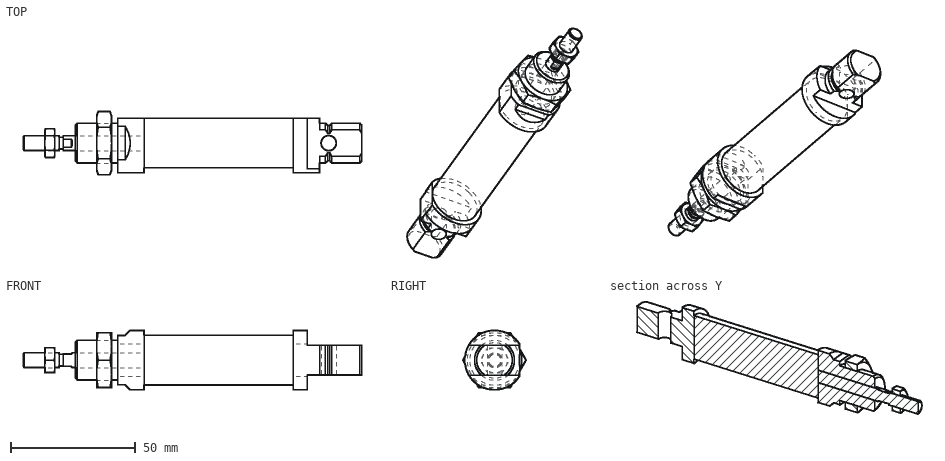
import cadquery as cq
import math


overall_length = 136.0
rod_nut_x = 8.7
rod_groove_x = 15.2
rod_flats_end_x = 19.3
thread_face_x = 21.0
mount_nut_x = 29.5
front_cap_x = 38.0
tube_front_x = 48.5
tube_rear_x = 108.4
rear_flats_x = 114.1
rear_collar_end_x = 119.0
pivot_x = 122.7

rod_diameter = 6.0
rod_tip_diameter = 5.0
rod_groove_diameter = 4.9
rod_groove_width = 1.6
rod_flats_width = 5.0

rod_nut_width = 10.0
rod_nut_thickness = 4.1
mount_nut_width = 22.0
mount_nut_thickness = 6.0
hexagon_half_angle = 30.0
nut_chamfer_angle = 20.0

tube_diameter = 20.0
cap_diameter = 24.0
cap_side_flat_y = 10.0
thread_diameter = 16.0
thread_tip_diameter = 14.3
wrench_flat_z = 9.9
wrench_flat_length = 3.0
eye_thickness = 12.0
eye_groove_diameter = 14.3
eye_groove_floor = 0.8
pivot_hole_diameter = 6.0


def round_bar(diameter, start, end):
    """Round bar along X between two stations."""
    return cq.Workplane("YZ").workplane(offset=start).circle(diameter / 2).extrude(end - start)


def v_groove(outer_diameter, floor_diameter, floor_width, center):
    """Ring to cut away: a turned groove with 45 degree walls and a flat floor."""
    depth = (outer_diameter - floor_diameter) / 2
    half_floor = floor_width / 2
    return (
        cq.Workplane("XY")
        .moveTo(center - half_floor, floor_diameter / 2)
        .lineTo(center + half_floor, floor_diameter / 2)
        .lineTo(center + half_floor + 2 * depth, floor_diameter / 2 + 2 * depth)
        .lineTo(center - half_floor - 2 * depth, floor_diameter / 2 + 2 * depth)
        .close()
        .revolve(360, (0, 0, 0), (1, 0, 0))
    )


def flat_cut(start, end, flat_z, ramp_height, width):
    """Block to cut away above flat_z, with a 45 degree run-out beyond end."""
    return (
        cq.Workplane("XZ")
        .moveTo(start, flat_z)
        .lineTo(end, flat_z)
        .lineTo(end + ramp_height, flat_z + ramp_height)
        .lineTo(start, flat_z + ramp_height)
        .close()
        .extrude(width / 2, both=True)
    )


def cut_flat_pair(body, cutter):
    """Cut the same flat on the upper and lower sides."""
    return body.cut(cutter).cut(cutter.mirror("XY"))


def trim_side_flat(cap):
    """Remove the part of a cap beyond the flat on its +Y side."""
    keep = cq.Workplane("XY").box(
        overall_length, cap_diameter, cap_diameter, centered=(False, False, True)
    ).translate((0, cap_side_flat_y - cap_diameter, 0))
    return cap.intersect(keep)


def make_hex_nut(width, bore, start, thickness):
    """Hexagon nut along X with flats up and down and corners chamfered at both faces."""
    corner_diameter = width / math.cos(math.radians(hexagon_half_angle))
    chamfer_radial = (corner_diameter - width) / 2
    chamfer_axial = chamfer_radial * math.tan(math.radians(nut_chamfer_angle))
    blank = (
        cq.Workplane("YZ")
        .workplane(offset=start)
        .polygon(6, corner_diameter)
        .circle(bore / 2)
        .extrude(thickness)
    )
    envelope = round_bar(corner_diameter, start, start + thickness)
    chamfered_envelope = envelope.faces("<X or >X").chamfer(chamfer_axial, chamfer_radial)
    return blank.intersect(chamfered_envelope)


def make_piston_rod():
    tip_chamfer = (rod_diameter - rod_tip_diameter) / 2
    rod = round_bar(rod_diameter, 0, tube_front_x).faces("<X").chamfer(tip_chamfer)
    groove_start = rod_groove_x - rod_groove_width / 2
    groove_end = rod_groove_x + rod_groove_width / 2
    groove = round_bar(rod_diameter, groove_start, groove_end)
    rod = rod.cut(groove.cut(round_bar(rod_groove_diameter, groove_start, groove_end)))
    flat_z = rod_flats_width / 2
    cutter = flat_cut(rod_groove_x, rod_flats_end_x, flat_z, rod_diameter / 2 - flat_z, rod_diameter)
    return cut_flat_pair(rod, cutter)


def make_front_cap():
    tip_chamfer = (thread_diameter - thread_tip_diameter) / 2
    thread = round_bar(thread_diameter, thread_face_x, front_cap_x).faces("<X").chamfer(tip_chamfer)
    collar = trim_side_flat(round_bar(cap_diameter, front_cap_x, tube_front_x))
    flats_end = front_cap_x + wrench_flat_length
    ramp_height = cap_diameter / 2 - wrench_flat_z
    cutter = flat_cut(front_cap_x, flats_end, wrench_flat_z, ramp_height, cap_diameter)
    cap = thread.union(cut_flat_pair(collar, cutter))
    return cap.cut(round_bar(rod_diameter, thread_face_x, tube_front_x))


def make_tube():
    return round_bar(tube_diameter, tube_front_x, tube_rear_x)


def make_rear_cap():
    end_chamfer = (thread_diameter - thread_tip_diameter) / 2
    collar = trim_side_flat(round_bar(cap_diameter, tube_rear_x, rear_collar_end_x))
    eye = round_bar(thread_diameter, rear_collar_end_x, overall_length).faces(">X").chamfer(end_chamfer)
    eye = eye.cut(v_groove(thread_diameter, eye_groove_diameter, eye_groove_floor, pivot_x))
    flat_z = eye_thickness / 2
    cutter = (
        cq.Workplane("XY")
        .box(overall_length - rear_flats_x, cap_diameter, cap_diameter, centered=(False, True, False))
        .translate((rear_flats_x, 0, flat_z))
    )
    cap = cut_flat_pair(collar.union(eye), cutter)
    pivot_hole = (
        cq.Workplane("XY")
        .center(pivot_x, 0)
        .circle(pivot_hole_diameter / 2)
        .extrude(eye_thickness, both=True)
    )
    return cap.cut(pivot_hole)


piston_rod = make_piston_rod()
rod_nut = make_hex_nut(rod_nut_width, rod_diameter, rod_nut_x, rod_nut_thickness)
front_cap = make_front_cap()
mount_nut = make_hex_nut(mount_nut_width, thread_diameter, mount_nut_x, mount_nut_thickness)
tube = make_tube()
rear_cap = make_rear_cap()

result = cq.Compound.makeCompound(
    [
        piston_rod.val(),
        rod_nut.val(),
        front_cap.val(),
        mount_nut.val(),
        tube.val(),
        rear_cap.val(),
    ]
)